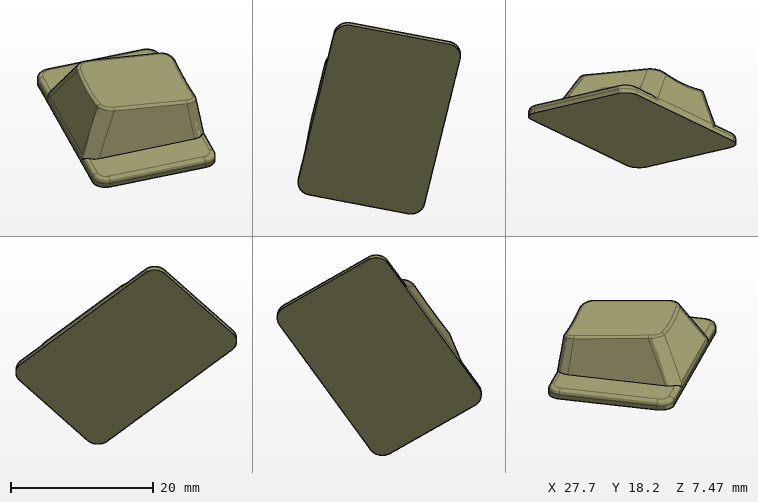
import cadquery as cq
import math

length = 27.7
depth = 18.16
base_height = 1.38
base_corner_radius = 2.0
base_edge_radius = 0.75

cap_width = 17.95
front_lean = 0.542
back_lean = 0.069
cap_corner_radius = 2.0
cap_edge_radius = 0.5
blend_height = 1.05
fold_radius = 1.38

dish_radius = 30.45
dish_height = 6.4
dish_fall = 0.125

blank_height = 7.48
blank_top_width = 11.52


def make_base():
    plate = cq.Workplane("XY").box(length, depth, base_height, centered=(True, True, False))
    plate = plate.edges("|Z").fillet(base_corner_radius)
    return plate.faces(">Z").edges().fillet(base_edge_radius)


def make_cap_blank():
    """Ruled walls from a level rectangle up to a rectangle in a sloping plane."""
    half_depth = depth / 2
    rise = blank_height - blend_height
    front_inset = front_lean * (rise + dish_fall * half_depth) / (1 + front_lean * dish_fall)
    back_inset = back_lean * (rise - dish_fall * half_depth) / (1 - back_lean * dish_fall)
    front_y = -half_depth + front_inset
    back_y = half_depth - back_inset
    bottom = make_rectangle(cap_width / 2, -half_depth, half_depth, blend_height, blend_height)
    top = make_rectangle(
        blank_top_width / 2,
        front_y,
        back_y,
        blank_height - dish_fall * front_y,
        blank_height - dish_fall * back_y,
    )
    return cq.Workplane(obj=cq.Solid.makeLoft([bottom, top], True))


def make_rectangle(half_width, front_y, back_y, front_z, back_z):
    corners = [
        (-half_width, front_y, front_z),
        (half_width, front_y, front_z),
        (half_width, back_y, back_z),
        (-half_width, back_y, back_z),
    ]
    return cq.Wire.makePolygon([cq.Vector(*corner) for corner in corners], close=True)


def make_dish_cutter():
    """Cylinder whose underside forms the dish, tilted along the fall."""
    tilt = math.degrees(math.atan(dish_fall))
    cylinder = cq.Workplane("XZ").circle(dish_radius).extrude(length, both=True)
    return (
        cylinder.rotate((0, 0, 0), (1, 0, 0), -tilt)
        .translate((0, 0, dish_height + dish_radius / math.cos(math.radians(tilt))))
    )


def make_fold_cutter():
    """Sliver outside the arc that joins the upright and leaning front walls."""
    lean_angle = math.atan(front_lean)
    tangent = fold_radius * math.tan(lean_angle / 2)
    front_y = -depth / 2
    lower = (front_y, blend_height - tangent)
    upper = (
        front_y + tangent * math.sin(lean_angle),
        blend_height + tangent * math.cos(lean_angle),
    )
    middle = (
        front_y + fold_radius * (1 - math.cos(lean_angle / 2)),
        lower[1] + fold_radius * math.sin(lean_angle / 2),
    )
    return (
        cq.Workplane("YZ")
        .moveTo(*lower)
        .threePointArc(middle, upper)
        .lineTo(front_y, blend_height)
        .close()
        .extrude(cap_width / 2, both=True)
    )


def is_corner_edge(edge):
    """True for the edges that climb from the bottom rectangle to the top one."""
    return edge.BoundingBox().zlen > dish_height / 2


def make_cap():
    blank = make_cap_blank().edges().filter(is_corner_edge).fillet(cap_corner_radius)
    outline = blank.faces("<Z").wires().val()
    foot = cq.Solid.extrudeLinear(outline, [], cq.Vector(0, 0, -blend_height))
    cap = blank.cut(make_dish_cutter())
    cap = cap.faces(">Z").edges().fillet(cap_edge_radius)
    return cap.union(cq.Workplane(obj=foot)).cut(make_fold_cutter())


result = make_base().union(make_cap())